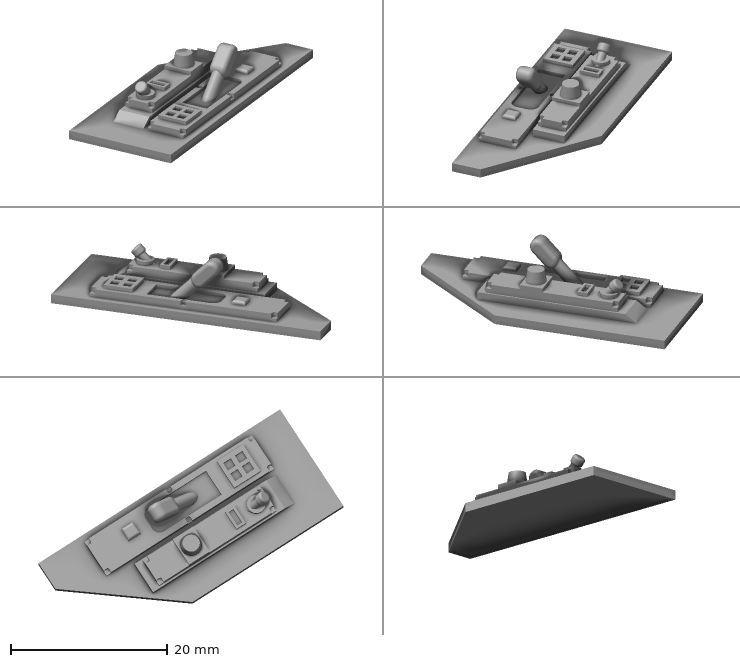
import cadquery as cq
import math


BASE_WIDTH = 14.95
BASE_LENGTH = 36.8
BASE_THICK = 1.2
CUT_CORNER_X = 10.95
CUT_CORNER_Y = 23.0

PLATE_THICK = 1.1
STEP = 0.55
TILT = 45
SCREW_NOTCH = 0.7
SCREW_NOTCH_DEPTH = 0.63
SCREW_NOTCH_RADIUS = 0.22

PLINTH_X = 3.65
PLINTH_WIDTH = 4.38
PLINTH_FRONT = 5.05
PLINTH_RAMP_TOP = 6.6
PLINTH_BACK = 26.65
PLINTH_TOP = BASE_THICK + PLATE_THICK

LEFT_CENTER_X = PLINTH_X + PLINTH_WIDTH / 2
LEFT_WIDTH = 3.9
LEFT_FRONT = 7.73
LEFT_BACK = 25.58
LEFT_THICK = 1.2
LEFT_TOP = PLINTH_TOP + LEFT_THICK

KNOB_Y = 19.43
KNOB_BLOCK_LENGTH = 3.13
KNOB_BASE_RADIUS = 1.35
KNOB_TOP_RADIUS = 1.1
KNOB_HEIGHT = 1.65

DISPLAY_Y = 12.7
DISPLAY_WIDTH = 2.72
DISPLAY_LENGTH = 1.4
DISPLAY_RIM = 0.33

TOGGLE_Y = 9.53
TOGGLE_COLLAR_RADIUS = 1.18
TOGGLE_ROD_RADIUS = 0.6
TOGGLE_HEAD_RADIUS = 0.85
TOGGLE_HEAD_LENGTH = 1.2
TOGGLE_HEAD_FILLET = 0.313
TOGGLE_REACH = 1.95
TOGGLE_ROOT = 1.47

RIGHT_X = 8.75
RIGHT_WIDTH = 5.23
RIGHT_FRONT = 4.93
RIGHT_BACK = 30.45
RIGHT_CENTER_X = RIGHT_X + RIGHT_WIDTH / 2
RIGHT_TOP = BASE_THICK + PLATE_THICK

KEYPAD_Y = 8.6
KEYPAD_WIDTH = 4.12
KEYPAD_LENGTH = 3.97
KEY_SIZE = 1.15
KEY_PITCH_X = 1.65
KEY_PITCH_Y = 1.75

BUTTON_X = 11.78
BUTTON_Y = 24.75
BUTTON_SIZE = 1.85
BUTTON_FILLET = 0.35

WELL_WIDTH = 3.68
WELL_FRONT = 12.4
WELL_BACK = 22.25
WELL_RADIUS = 1.1

GRIP_WIDTH = 2.4
GRIP_RADIUS = 1.05
GRIP_FILLET = 0.55
GRIP_CENTER_SPAN = 2.4
GRIP_TOP_Y = 20.85
GRIP_TOP_Z = 6.48
SHAFT_RADIUS = 0.85
SHAFT_LENGTH = 8.1


def box(center_x, width, front, back, bottom, height):
    """Upright block centred on center_x, running from front to back."""
    return cq.Workplane("XY").box(width, back - front, height, centered=(True, False, False)).translate(
        (center_x, front, bottom)
    )


def block(center_x, center_y, width, length, bottom, height):
    """Upright block centred on a point."""
    return box(center_x, width, center_y - length / 2, center_y + length / 2, bottom, height)


def screw_notches(panel, center_x, width, top, centers_y):
    """Cut a pair of notches into the panel's two long edges at each centre."""
    for side in (-1, 1):
        for y in centers_y:
            x = center_x + side * (width - SCREW_NOTCH) / 2
            notch = block(x, y, SCREW_NOTCH, SCREW_NOTCH, top - SCREW_NOTCH_DEPTH, SCREW_NOTCH_DEPTH)
            inner_edges = "|Z and <X" if side > 0 else "|Z and >X"
            notch = notch.edges(inner_edges).fillet(SCREW_NOTCH_RADIUS)
            panel = panel.cut(notch)
    return panel


def rod(center_x, y, z, lean, radius, start, end):
    """Round rod through (center_x, y, z), leaning toward +Y or -Y, between two distances along its axis."""
    axis = cq.Vector(0, lean * math.sin(math.radians(TILT)), math.cos(math.radians(TILT)))
    foot = cq.Vector(center_x, y, z) + axis * start
    return cq.Workplane(cq.Plane(foot, (1, 0, 0), axis)).circle(radius).extrude(end - start)


def base_plate():
    outline = [
        (0, 0),
        (BASE_WIDTH, 0),
        (BASE_WIDTH, BASE_LENGTH),
        (CUT_CORNER_X, BASE_LENGTH),
        (0, CUT_CORNER_Y),
    ]
    return cq.Workplane("XY").polyline(outline).close().extrude(BASE_THICK)


def plinth():
    side_profile = [
        (PLINTH_FRONT, BASE_THICK),
        (PLINTH_BACK, BASE_THICK),
        (PLINTH_BACK, PLINTH_TOP),
        (PLINTH_RAMP_TOP, PLINTH_TOP),
    ]
    return (
        cq.Workplane("YZ", origin=(PLINTH_X, 0, 0))
        .polyline(side_profile)
        .close()
        .extrude(PLINTH_WIDTH)
    )


def left_panel():
    panel = box(LEFT_CENTER_X, LEFT_WIDTH, LEFT_FRONT, LEFT_BACK, PLINTH_TOP, LEFT_THICK)
    notch_rows = (LEFT_FRONT + SCREW_NOTCH / 2, LEFT_BACK - SCREW_NOTCH / 2)
    return screw_notches(panel, LEFT_CENTER_X, LEFT_WIDTH, LEFT_TOP, notch_rows)


def knob():
    mount = block(LEFT_CENTER_X, KNOB_Y, LEFT_WIDTH, KNOB_BLOCK_LENGTH, LEFT_TOP, STEP)
    cone = cq.Solid.makeCone(
        KNOB_BASE_RADIUS,
        KNOB_TOP_RADIUS,
        KNOB_HEIGHT,
        cq.Vector(LEFT_CENTER_X, KNOB_Y, LEFT_TOP + STEP),
    )
    return mount.union(cone)


def display_frame():
    frame = block(LEFT_CENTER_X, DISPLAY_Y, DISPLAY_WIDTH, DISPLAY_LENGTH, LEFT_TOP, STEP)
    window = block(
        LEFT_CENTER_X,
        DISPLAY_Y,
        DISPLAY_WIDTH - 2 * DISPLAY_RIM,
        DISPLAY_LENGTH - 2 * DISPLAY_RIM,
        LEFT_TOP,
        STEP,
    )
    return frame.cut(window)


def toggle_switch():
    collar_top = LEFT_TOP + STEP
    collar = (
        cq.Workplane("XY", origin=(LEFT_CENTER_X, TOGGLE_Y, LEFT_TOP))
        .circle(TOGGLE_COLLAR_RADIUS)
        .extrude(STEP)
    )
    head_start = TOGGLE_REACH - TOGGLE_HEAD_LENGTH
    pivot = (LEFT_CENTER_X, TOGGLE_Y, collar_top)
    head = rod(*pivot, -1, TOGGLE_HEAD_RADIUS, head_start, TOGGLE_REACH)
    head = head.edges().fillet(TOGGLE_HEAD_FILLET)
    stem = rod(*pivot, -1, TOGGLE_ROD_RADIUS, -TOGGLE_ROOT, head_start + TOGGLE_HEAD_LENGTH / 2)
    return collar.union(stem).union(head)


def right_panel():
    panel = box(RIGHT_CENTER_X, RIGHT_WIDTH, RIGHT_FRONT, RIGHT_BACK, BASE_THICK, PLATE_THICK)
    notch_rows = (
        RIGHT_FRONT + SCREW_NOTCH / 2,
        (RIGHT_FRONT + RIGHT_BACK) / 2,
        RIGHT_BACK - SCREW_NOTCH / 2,
    )
    panel = screw_notches(panel, RIGHT_CENTER_X, RIGHT_WIDTH, RIGHT_TOP, notch_rows)
    well = box(RIGHT_CENTER_X, WELL_WIDTH, WELL_FRONT, WELL_BACK, RIGHT_TOP - STEP, STEP)
    well = well.edges("|Z and >Y").fillet(WELL_RADIUS)
    return panel.cut(well)


def keypad():
    pad = block(RIGHT_CENTER_X, KEYPAD_Y, KEYPAD_WIDTH, KEYPAD_LENGTH, RIGHT_TOP, STEP)
    for column in (-1, 1):
        for row in (-1, 1):
            x = RIGHT_CENTER_X + column * KEY_PITCH_X / 2
            y = KEYPAD_Y + row * KEY_PITCH_Y / 2
            pad = pad.cut(block(x, y, KEY_SIZE, KEY_SIZE, RIGHT_TOP, STEP))
    return pad


def push_button():
    button = block(BUTTON_X, BUTTON_Y, BUTTON_SIZE, BUTTON_SIZE, RIGHT_TOP, STEP)
    return button.faces(">Z").edges().fillet(BUTTON_FILLET)


def throttle_lever():
    top_center = (RIGHT_CENTER_X, GRIP_TOP_Y, GRIP_TOP_Z)
    grip = (
        cq.Workplane("YZ")
        .slot2D(GRIP_CENTER_SPAN + 2 * GRIP_RADIUS, 2 * GRIP_RADIUS)
        .extrude(GRIP_WIDTH / 2, both=True)
        .edges("<X or >X")
        .fillet(GRIP_FILLET)
        .translate((0, -GRIP_CENTER_SPAN / 2, 0))
        .rotate((0, 0, 0), (1, 0, 0), 90 - TILT)
        .translate(top_center)
    )
    shaft = rod(*top_center, 1, SHAFT_RADIUS, -SHAFT_LENGTH, -GRIP_CENTER_SPAN / 2)
    above_base = box(RIGHT_CENTER_X, RIGHT_WIDTH, RIGHT_FRONT, RIGHT_BACK, BASE_THICK, GRIP_TOP_Z)
    return grip.union(shaft.intersect(above_base))


result = base_plate()
for feature in (
    plinth(),
    left_panel(),
    knob(),
    display_frame(),
    toggle_switch(),
    right_panel(),
    keypad(),
    push_button(),
    throttle_lever(),
):
    result = result.union(feature)